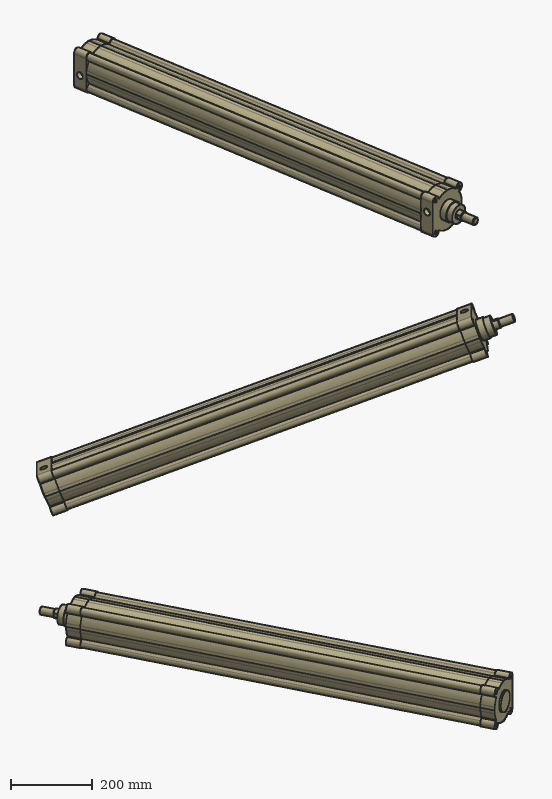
import cadquery as cq
import math

total_length = 1233.0
rear_boss_length = 5.0
cap_length = 38.0
rod_thread_length = 37.0
thread_start_to_cap = 53.0
rear_cap_start = rear_boss_length
rear_cap_end = rear_cap_start + cap_length
thread_start = total_length - rod_thread_length
front_cap_end = thread_start - thread_start_to_cap
front_cap_start = front_cap_end - cap_length

cap_width = 112.0
body_diameter = 110.0
body_radius = body_diameter / 2
ridge_half_width = 9.2
tie_offset = 45.0
cap_lobe_radius = cap_width / 2 - tie_offset
barrel_lobe_radius = 10.0
neck_width = 2 * barrel_lobe_radius

boss_diameter = 55.0
collar_base_length = 18.0
collar_nose_length = 17.0
collar_nose_diameter = 50.0
pad_thickness = 1.5 * cap_lobe_radius
port_diameter = 18.0
port_depth = 15.0
port_inset = 18.0
port_height = 11.0
screw_hole_diameter = 9.0
screw_hole_depth = 15.0

rod_diameter = 25.0
flats_width = 22.0
flats_length = 10.0
thread_diameter = 21.0
thread_chamfer = 1.8
shoulder_length = 2.0
shoulder_chamfer = (rod_diameter - thread_diameter) / 2


def cylinder(start, length, diameter):
    """Round bar on the X axis."""
    return cq.Workplane("YZ").workplane(offset=start).circle(diameter / 2).extrude(length)


def tie_positions():
    """Centres (Y, Z) of the four corner lobes."""
    return [(y * tie_offset, z * tie_offset) for y in (-1, 1) for z in (-1, 1)]


def lobed_bar(start, length, lobe_radius):
    """Round bar with a shallow ridge on each side and a round lobe on a straight neck at each corner."""
    plane = cq.Workplane("YZ").workplane(offset=start)
    bar = plane.circle(body_radius).extrude(length)
    ridge_foot_distance = math.sqrt(body_radius**2 - ridge_half_width**2)
    ridge_apex_distance = body_radius**2 / ridge_foot_distance
    ridge = (
        plane.moveTo(0, 0)
        .lineTo(ridge_foot_distance, -ridge_half_width)
        .lineTo(ridge_apex_distance, 0)
        .lineTo(ridge_foot_distance, ridge_half_width)
        .close()
        .extrude(length)
    )
    for quarter in range(4):
        bar = bar.union(ridge.rotate((0, 0, 0), (1, 0, 0), 90 * quarter))
    lobe_spacing = 2 * math.sqrt(2) * tie_offset
    necks = plane.rect(lobe_spacing, neck_width).extrude(length)
    for angle in (45, -45):
        bar = bar.union(necks.rotate((0, 0, 0), (1, 0, 0), angle))
    lobes = plane.pushPoints(tie_positions()).circle(lobe_radius).extrude(length)
    return bar.union(lobes)


def cap_block(start, port_x, port_z):
    """Lobed cap with a flat -Y side that carries the air port."""
    block = lobed_bar(start, cap_length, cap_lobe_radius)
    pad = cq.Workplane("XY").box(cap_length, pad_thickness, 2 * tie_offset, (False, False, True))
    pad = pad.translate((start, -cap_width / 2, 0))
    port = (
        cq.Workplane("XZ", origin=(port_x, -cap_width / 2, port_z))
        .circle(port_diameter / 2)
        .extrude(-port_depth)
    )
    return block.union(pad).cut(port)


def screw_holes(start, depth):
    """Four blind corner holes that run along X from the given face."""
    plane = cq.Workplane("YZ").workplane(offset=start)
    return plane.pushPoints(tie_positions()).circle(screw_hole_diameter / 2).extrude(depth)


def make_rear_cap():
    cap = cap_block(rear_cap_start, rear_cap_start + port_inset, -port_height)
    boss = cylinder(0, rear_boss_length + cap_length, boss_diameter)
    return cap.union(boss).cut(screw_holes(rear_cap_start, screw_hole_depth))


def make_front_cap():
    cap = cap_block(front_cap_start, front_cap_end - port_inset, port_height)
    base = cylinder(front_cap_end, collar_base_length, boss_diameter)
    nose = cylinder(front_cap_end + collar_base_length, collar_nose_length, collar_nose_diameter)
    rod_bore = cylinder(front_cap_start, thread_start - front_cap_start, rod_diameter)
    cap = cap.union(base).union(nose)
    return cap.cut(rod_bore).cut(screw_holes(front_cap_end, -screw_hole_depth))


def make_barrel():
    return lobed_bar(rear_cap_end, front_cap_start - rear_cap_end, barrel_lobe_radius)


def make_piston_rod():
    """Rod through the front cap, with two wrench flats and a chamfered threaded end."""
    shank = cylinder(front_cap_start, thread_start - front_cap_start, rod_diameter)
    flats = cq.Workplane("XY").box(flats_length, rod_diameter, rod_diameter)
    flats = flats.cut(cq.Workplane("XY").box(flats_length, flats_width, rod_diameter))
    shank = shank.faces(">X").chamfer(shoulder_chamfer)
    shank = shank.cut(flats.translate((thread_start - shoulder_length - flats_length / 2, 0, 0)))
    thread = cylinder(thread_start, rod_thread_length, thread_diameter)
    thread = thread.faces(">X").chamfer(thread_chamfer)
    return shank.union(thread)


rear_cap = make_rear_cap()
barrel = make_barrel()
front_cap = make_front_cap()
piston_rod = make_piston_rod()

result = cq.Compound.makeCompound([rear_cap.val(), barrel.val(), front_cap.val(), piston_rod.val()])